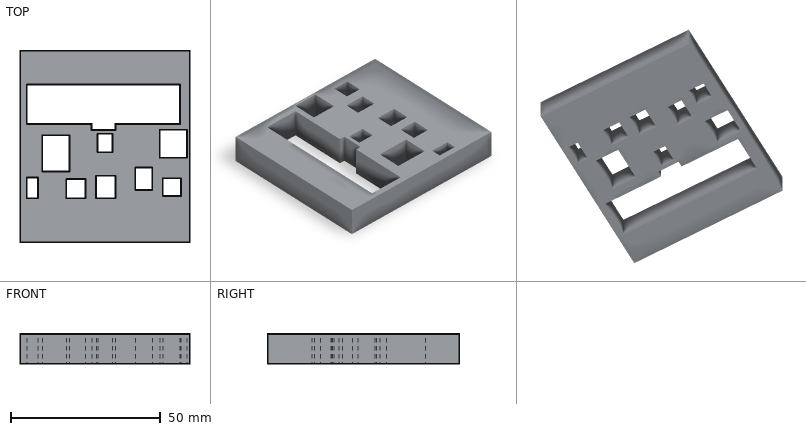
import cadquery as cq

plate_width = 56.7
plate_depth = 64.1
plate_thickness = 10.0

window_left = -26.1
window_front = 7.55
window_width = 51.15
window_depth = 13.1
notch_left = -4.5
notch_width = 7.95
notch_depth = 2.05

front_row = -17.3

small_openings = [
    (window_left, front_row, 3.65, 6.9),
    (-12.95, front_row, 6.4, 6.4),
    (-2.95, front_row, 6.4, 7.45),
    (10.1, -14.5, 5.65, 7.45),
    (19.35, -16.55, 5.95, 5.9),
    (-20.9, -8.35, 9.0, 12.05),
    (-2.45, -1.9, 4.9, 6.15),
    (18.35, -3.7, 9.05, 9.25),
]


def through_block(left, front, width, depth):
    """Rectangular block through the full plate thickness, placed by its left front corner."""
    block = cq.Workplane("XY").box(width, depth, plate_thickness, centered=False)
    return block.translate((left, front, 0))


def window_cutter():
    """Main window together with its notch."""
    window = through_block(window_left, window_front, window_width, window_depth)
    notch = through_block(notch_left, window_front - notch_depth, notch_width, notch_depth)
    return window.union(notch)


plate = through_block(-plate_width / 2, -plate_depth / 2, plate_width, plate_depth)
result = plate.cut(window_cutter())
for left, front, width, depth in small_openings:
    result = result.cut(through_block(left, front, width, depth))